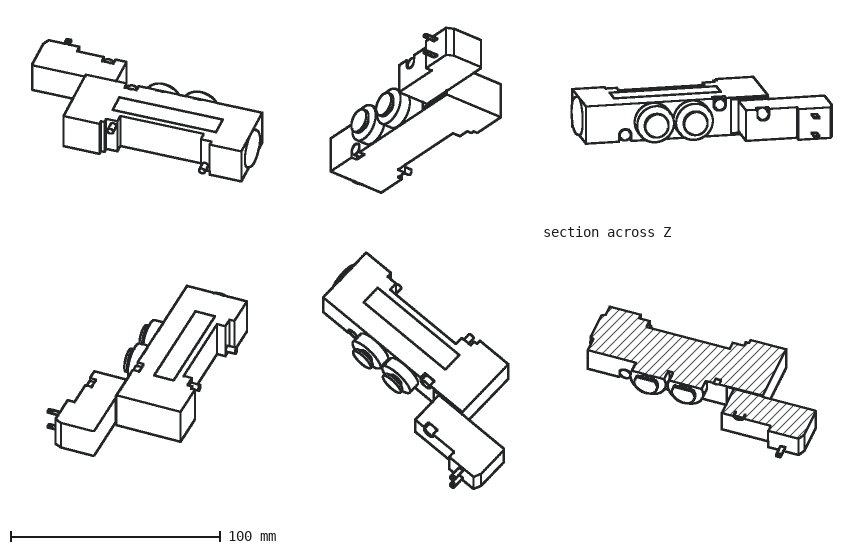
import cadquery as cq


OVERALL_LENGTH = 118.1
DEPTH_BELOW_FACE = 33.1
HEIGHT_ABOVE_FACE = 27.9

HOUSING_THICKNESS = 18.5
HOUSING_START_X = 27.4
END_CAP_HEIGHT = 1.8
HOUSING_END_X = OVERALL_LENGTH - END_CAP_HEIGHT
LEFT_FOOT_END_X = 45.6
LEFT_STEP_END_X = 47.4
RECESS_START_X = 53.0
RECESS_END_X = 95.1
RIGHT_FOOT_START_X = 100.4
FOOT_Y = -31.0
SCREW_LEDGE_Y = -28.5
RECESS_Y = -24.2

LABEL_START_X = 48.1
LABEL_END_X = 100.1
LABEL_UPPER_Y = -11.0
LABEL_LOWER_Y = -21.0
LABEL_DEPTH = 0.1

CAP_DIAMETER = 18.4
CAP_EDGE_RADIUS = 1.7

FITTING_X = (64.6, 83.6)
COLLAR_DIAMETER = 18.0
COLLAR_TOP_Y = 5.7
NECK_DIAMETER = 7.0
BUTTON_DIAMETER = 11.5
BUTTON_BOTTOM_Y = 7.4
BUTTON_TOP_Y = 8.9

SCREW_X = (51.0, 97.2)
SCREW_OFFSET_Z = 6.1
SHANK_DIAMETER = 3.0
HEAD_DIAMETER = 5.4
HEAD_HEIGHT = 3.2
HEAD_POCKET_WIDTH = 6.0

GASKET_THICKNESS = 0.4
GASKET_WIDTH = 16.7

COIL_THICKNESS = 15.2
COIL_END_X = 42.0
COIL_STEP_X = 17.1
COIL_HIGH_Y = 20.9
COIL_LOW_Y = 17.4
COIL_CHAMFER_X = 1.7
COIL_CHAMFER_Y = 3.5
COIL_CORNER_RADIUS = 1.0

COIL_SCREW_X = 33.5
COIL_SCREW_Z = 4.8
COIL_POCKET_WIDTH = 5.8
COIL_POCKET_DEPTH = 3.2
COIL_HEAD_HEIGHT = 2.7
COIL_HEAD_EDGE = 0.5

TERMINAL_X = 9.6
TERMINAL_OFFSET_Z = 4.6
TERMINAL_WIDTH = 2.5
TERMINAL_THICKNESS = 0.4
TERMINAL_CORNER = 0.4
TERMINAL_HOLE_DIAMETER = 1.0
TERMINAL_HOLE_Y = HEIGHT_ABOVE_FACE - 1.5


def plate(points, thickness):
    """A plate with the given XY outline, centred on Z = 0."""
    return cq.Workplane("XY").polyline(points).close().extrude(thickness / 2, both=True)


def cylinder(diameter, x, z, bottom_y, top_y):
    """A cylinder along Y."""
    base = cq.Workplane("XZ", origin=(x, bottom_y, z))
    return base.circle(diameter / 2).extrude(bottom_y - top_y)


def head_pocket(width, x, z, floor_y, top_y, side):
    """A round-bottomed pocket for a screw head, open towards +Z (side = 1) or -Z (side = -1)."""
    height = top_y - floor_y
    reach = HOUSING_THICKNESS
    opening = cq.Workplane("XY").box(width, height, reach)
    opening = opening.translate((x, floor_y + height / 2, z + side * reach / 2))
    return cylinder(width, x, z, floor_y, top_y).union(opening)


def make_end_cap():
    """The round cap on the +X end of the housing, with a rounded rim."""
    middle_y = -DEPTH_BELOW_FACE / 2
    base = cq.Workplane("YZ", origin=(HOUSING_END_X, middle_y, 0))
    cap = base.circle(CAP_DIAMETER / 2).extrude(END_CAP_HEIGHT)
    return cap.faces(">X").edges().fillet(CAP_EDGE_RADIUS)


def make_fitting(x):
    """A push-in fitting: collar, neck and release button."""
    collar = cylinder(COLLAR_DIAMETER, x, 0, 0, COLLAR_TOP_Y)
    neck = cylinder(NECK_DIAMETER, x, 0, COLLAR_TOP_Y, BUTTON_BOTTOM_Y)
    button = cylinder(BUTTON_DIAMETER, x, 0, BUTTON_BOTTOM_Y, BUTTON_TOP_Y)
    return collar.union(neck).union(button)


def make_housing():
    """The valve housing with its end cap, fittings and mounting screws."""
    housing = plate(
        [
            (HOUSING_START_X, 0),
            (HOUSING_START_X, -DEPTH_BELOW_FACE),
            (LEFT_FOOT_END_X, -DEPTH_BELOW_FACE),
            (LEFT_FOOT_END_X, FOOT_Y),
            (LEFT_STEP_END_X, FOOT_Y),
            (LEFT_STEP_END_X, SCREW_LEDGE_Y),
            (RECESS_START_X, SCREW_LEDGE_Y),
            (RECESS_START_X, RECESS_Y),
            (RECESS_END_X, RECESS_Y),
            (RECESS_END_X, SCREW_LEDGE_Y),
            (RIGHT_FOOT_START_X, SCREW_LEDGE_Y),
            (RIGHT_FOOT_START_X, FOOT_Y),
            (HOUSING_END_X, FOOT_Y),
            (HOUSING_END_X, 0),
        ],
        HOUSING_THICKNESS,
    )

    label = cq.Workplane("XY", origin=(0, 0, HOUSING_THICKNESS / 2 - LABEL_DEPTH))
    label = label.moveTo((LABEL_START_X + LABEL_END_X) / 2, (LABEL_LOWER_Y + LABEL_UPPER_Y) / 2)
    label = label.rect(LABEL_END_X - LABEL_START_X, LABEL_UPPER_Y - LABEL_LOWER_Y).extrude(LABEL_DEPTH)
    housing = housing.cut(label).union(make_end_cap())

    for x, side in zip(SCREW_X, (1, -1)):
        z = side * SCREW_OFFSET_Z
        housing = housing.cut(head_pocket(HEAD_POCKET_WIDTH, x, z, -HEAD_HEIGHT, 0, side))
        housing = housing.union(cylinder(HEAD_DIAMETER, x, z, -HEAD_HEIGHT, 0))
        housing = housing.union(cylinder(SHANK_DIAMETER, x, z, -DEPTH_BELOW_FACE, SCREW_LEDGE_Y))

    for x in FITTING_X:
        housing = housing.union(make_fitting(x))
    return housing


def make_gasket():
    """The flat gasket on the housing, a little wider and longer than the coil's seat."""
    gasket = cq.Workplane("XY").box(LEFT_FOOT_END_X - HOUSING_START_X, GASKET_THICKNESS, GASKET_WIDTH)
    return gasket.translate(((HOUSING_START_X + LEFT_FOOT_END_X) / 2, GASKET_THICKNESS / 2, 0))


def make_terminal(z):
    """A flat contact blade with chamfered tip corners and a small hole."""
    length = HEIGHT_ABOVE_FACE - COIL_HIGH_Y
    blade = cq.Workplane("XY").box(TERMINAL_WIDTH, length, TERMINAL_THICKNESS)
    blade = blade.faces(">Y").edges("|Z").chamfer(TERMINAL_CORNER)
    blade = blade.translate((TERMINAL_X, COIL_HIGH_Y + length / 2, 0))
    hole = cq.Workplane("XY").moveTo(TERMINAL_X, TERMINAL_HOLE_Y)
    hole = hole.circle(TERMINAL_HOLE_DIAMETER / 2).extrude(TERMINAL_THICKNESS, both=True)
    return blade.cut(hole).translate((0, 0, z))


def make_coil():
    """The solenoid coil with its fixing screw and two terminals."""
    coil = plate(
        [
            (0, GASKET_THICKNESS),
            (COIL_END_X, GASKET_THICKNESS),
            (COIL_END_X, COIL_LOW_Y),
            (COIL_STEP_X, COIL_LOW_Y),
            (COIL_STEP_X, COIL_HIGH_Y),
            (COIL_CHAMFER_X, COIL_HIGH_Y),
            (0, COIL_HIGH_Y - COIL_CHAMFER_Y),
        ],
        COIL_THICKNESS,
    )
    coil = coil.edges("|Z and <X and <Y").fillet(COIL_CORNER_RADIUS)

    floor_y = COIL_LOW_Y - COIL_POCKET_DEPTH
    head_top_y = floor_y + COIL_HEAD_HEIGHT
    coil = coil.cut(head_pocket(COIL_POCKET_WIDTH, COIL_SCREW_X, COIL_SCREW_Z, floor_y, COIL_LOW_Y, 1))
    head = cylinder(HEAD_DIAMETER, COIL_SCREW_X, COIL_SCREW_Z, floor_y, head_top_y)
    coil = coil.union(head.faces(">Y").edges().fillet(COIL_HEAD_EDGE))

    for z in (-TERMINAL_OFFSET_Z, TERMINAL_OFFSET_Z):
        coil = coil.union(make_terminal(z))
    return coil


housing = make_housing()
gasket = make_gasket()
coil = make_coil()
result = cq.Compound.makeCompound([housing.val(), gasket.val(), coil.val()])